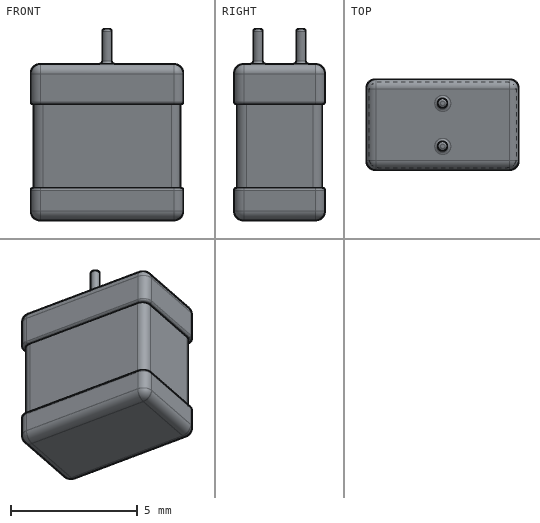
import cadquery as cq

core_length = 5.83
core_width = 3.39
core_corner_radius = 0.375

cap_overhang = 0.11
cap_length = core_length + 2 * cap_overhang
cap_width = core_width + 2 * cap_overhang
cap_corner_radius = 0.39
bottom_cap_height = 1.3
top_cap_height = 1.6
rim_radius = 0.1
body_height = 6.2

core_height = body_height - 2 * cap_corner_radius

pin_radius = 0.19
pin_spacing = 1.7
pin_height = 1.39
pin_tip_radius = 0.1
pin_flare_radius = 0.13
pin_embed_depth = 0.3


def upright_box(length, width, height):
    """Box centred on the Z axis and standing on Z = 0."""
    return cq.Workplane("XY").box(length, width, height, centered=(True, True, False))


def core():
    """Middle block with rounded vertical edges."""
    block = upright_box(core_length, core_width, core_height)
    return block.edges("|Z").fillet(core_corner_radius).translate((0, 0, cap_corner_radius))


def end_cap(height):
    """Cap with a well rounded closed end at Z = 0 and a slightly rounded rim at the top."""
    block = upright_box(cap_length, cap_width, height)
    cap = block.edges("|Z or <Z").fillet(cap_corner_radius)
    return cap.faces(">Z").edges().fillet(rim_radius)


def pin(y_center):
    """Round pin with a rounded tip and a concave flare where it meets the top face."""
    foot_radius = pin_radius + pin_flare_radius
    tip_flat_radius = pin_radius - pin_tip_radius
    profile = (
        cq.Workplane("XZ")
        .moveTo(0, -pin_embed_depth)
        .lineTo(foot_radius, -pin_embed_depth)
        .lineTo(foot_radius, 0)
        .radiusArc((pin_radius, pin_flare_radius), pin_flare_radius)
        .lineTo(pin_radius, pin_height - pin_tip_radius)
        .radiusArc((tip_flat_radius, pin_height), -pin_tip_radius)
        .lineTo(0, pin_height)
        .close()
    )
    return profile.revolve().translate((0, y_center, body_height))


bottom_cap = end_cap(bottom_cap_height)
flipped_cap = end_cap(top_cap_height).rotate((0, 0, 0), (1, 0, 0), 180)
top_cap = flipped_cap.translate((0, 0, body_height))

result = core().union(bottom_cap).union(top_cap)
for side in (-1, 1):
    result = result.union(pin(side * pin_spacing / 2))